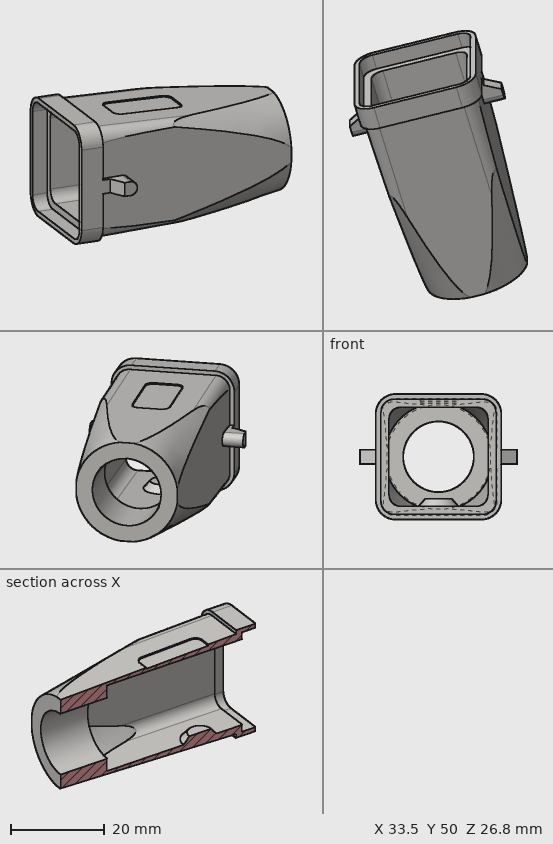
import cadquery as cq
import math

LENGTH = 50.0

RIM_SIDE = 26.8
RIM_LENGTH = 5.0
RIM_CORNER_RADIUS = 4.3
RECESS_SIDE = 24.5
RECESS_CORNER_RADIUS = 2.8
RECESS_DEPTH = 3.4

HOOD_SIDE_AT_RIM = 24.9
HOOD_SIDE_AT_END = 22.1
HOOD_CORNER_RADIUS = 3.1
CONE_ANGLE = 9.8
CONE_END_RADIUS = 11.15

CAVITY_SIDE = 21.1
CAVITY_CORNER_RADIUS = 2.5
CAVITY_DEPTH = 38.0
CAVITY_END_RADIUS = 11.5
CABLE_HOLE_DIAMETER = 15.0

BOSS_BASE_DIAMETER = 8.5
BOSS_TOP_DIAMETER = 5.6
BOSS_HEIGHT = 1.65
BOSS_Y = 14.2

PEG_SPAN = 33.5
PEG_WIDTH = 3.1
PEG_REAR_Y = 11.5
PEG_TIP_FRONT_Y = 8.55
PEG_FOOT_Y = 6.7

PANEL_WIDTH = 8.15
PANEL_LENGTH = 15.9
PANEL_CENTER_Y = 20.1
PANEL_CORNER_RADIUS = 1.7
PANEL_DEPTH = 0.3

HOOD_LENGTH = LENGTH - RIM_LENGTH
SIDE_SLOPE = (HOOD_SIDE_AT_RIM - HOOD_SIDE_AT_END) / 2 / HOOD_LENGTH


def square_bar(side, corner_radius, length):
    """Square bar with rounded corners, running from Y = 0 along +Y."""
    bar = cq.Workplane("XZ").rect(side, side).extrude(-length)
    return bar.edges("|Y").fillet(corner_radius)


def cone_along_y(end_radius, end_y):
    """Cone on the Y axis from Y = 0, narrowing to end_radius at end_y."""
    start_radius = end_radius + end_y * math.tan(math.radians(CONE_ANGLE))
    cone = cq.Solid.makeCone(start_radius, end_radius, end_y, cq.Vector(0, 0, 0), cq.Vector(0, 1, 0))
    return cq.Workplane(cone)


def hood_wedge(plane, outline):
    """Tapered outline extruded to the full hood width across the given plane."""
    return cq.Workplane(plane).polyline(outline).close().extrude(HOOD_SIDE_AT_RIM / 2, both=True)


def make_hood():
    """Wedge in both directions whose long corners are rounded, then trimmed by a cone."""
    half_rim = HOOD_SIDE_AT_RIM / 2
    half_end = HOOD_SIDE_AT_END / 2
    rim_to_end = [
        (-half_rim, RIM_LENGTH),
        (half_rim, RIM_LENGTH),
        (half_end, LENGTH),
        (-half_end, LENGTH),
    ]
    height_taper = hood_wedge("YZ", [(y, z) for z, y in rim_to_end])
    long_edges = height_taper.faces("<X or >X").edges("not |Z")
    height_taper = long_edges.fillet(HOOD_CORNER_RADIUS)
    width_taper = hood_wedge("XY", rim_to_end)
    return height_taper.intersect(width_taper).intersect(cone_along_y(CONE_END_RADIUS, LENGTH))


def make_pegs():
    """Bar across the body with sloped flanks toward the opening and a half-round rear edge."""
    half_span = PEG_SPAN / 2
    half_rim = RIM_SIDE / 2
    outline = [
        (-half_rim, 0),
        (half_rim, 0),
        (half_rim, PEG_FOOT_Y),
        (half_span, PEG_TIP_FRONT_Y),
        (half_span, PEG_REAR_Y),
        (-half_span, PEG_REAR_Y),
        (-half_span, PEG_TIP_FRONT_Y),
        (-half_rim, PEG_FOOT_Y),
    ]
    bar = cq.Workplane("XY").polyline(outline).close().extrude(PEG_WIDTH / 2, both=True)
    peg_radius = PEG_WIDTH / 2
    rounded_bar = (
        cq.Workplane("YZ")
        .moveTo(0, -peg_radius)
        .lineTo(PEG_REAR_Y - peg_radius, -peg_radius)
        .threePointArc((PEG_REAR_Y, 0), (PEG_REAR_Y - peg_radius, peg_radius))
        .lineTo(0, peg_radius)
        .close()
        .extrude(half_span, both=True)
    )
    return bar.intersect(rounded_bar)


def make_cavity():
    """Stepped socket opening, square cavity with a conical end, and the cable hole."""
    recess = square_bar(RECESS_SIDE, RECESS_CORNER_RADIUS, RECESS_DEPTH)
    chamber = square_bar(CAVITY_SIDE, CAVITY_CORNER_RADIUS, CAVITY_DEPTH)
    chamber = chamber.intersect(cone_along_y(CAVITY_END_RADIUS, CAVITY_DEPTH))
    cable_hole = cq.Workplane("XZ").circle(CABLE_HOLE_DIAMETER / 2).extrude(-LENGTH)
    return recess.union(chamber).union(cable_hole)


def make_boss():
    """Truncated cone standing on the cavity floor."""
    floor_center = cq.Vector(0, BOSS_Y, -CAVITY_SIDE / 2)
    boss = cq.Solid.makeCone(BOSS_BASE_DIAMETER / 2, BOSS_TOP_DIAMETER / 2, BOSS_HEIGHT, floor_center)
    return cq.Workplane(boss)


def make_name_panel():
    """Rounded pocket sunk square to the sloping top face."""
    surface_z = HOOD_SIDE_AT_RIM / 2 - SIDE_SLOPE * (PANEL_CENTER_Y - RIM_LENGTH)
    top_face = cq.Plane(
        origin=(0, PANEL_CENTER_Y, surface_z),
        xDir=(1, 0, 0),
        normal=(0, SIDE_SLOPE, 1),
    )
    panel = cq.Workplane(top_face).rect(PANEL_WIDTH, PANEL_LENGTH).extrude(PANEL_DEPTH, both=True)
    return panel.edges(cq.selectors.ParallelDirSelector(top_face.zDir)).fillet(PANEL_CORNER_RADIUS)


result = (
    square_bar(RIM_SIDE, RIM_CORNER_RADIUS, RIM_LENGTH)
    .union(make_hood())
    .union(make_pegs())
    .cut(make_cavity())
    .union(make_boss())
    .cut(make_name_panel())
)